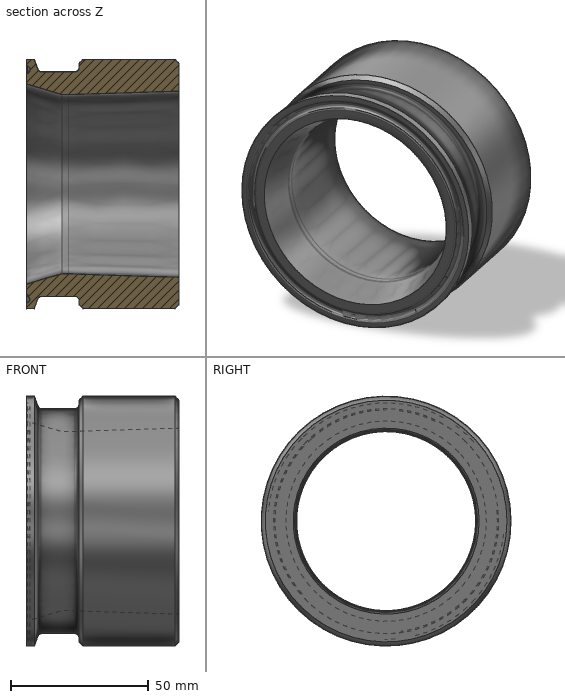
import cadquery as cq
import math

length = 55.55
outer_radius = 90.91 / 2

rim_width = 2.9
flange_back_angle = math.radians(20)
flange_root_fillet = 1.2

neck_radius = 81.89 / 2
body_start = 19.1
body_root_fillet = 1.5
body_chamfer = 1.5

mouth_radius = 72.9 / 2
throat_radius = 65.14 / 2
throat_start = 12.9
throat_end = 15.4
throat_blend_radius = 1.5
pipe_taper = 1 / 16
pipe_mouth_radius = throat_radius + (length - throat_end) * pipe_taper / 2

groove_centre_radius = 41.74
groove_half_width = 1.35
groove_depth = 1.3
groove_edge_fillet = 0.6


def fillet_ring(body, x, radius, fillet_radius):
    """Round the circular edge of the given radius that lies in the plane at x."""
    tolerance = 0.01

    def matches(edge):
        same_plane = abs(edge.Center().x - x) < tolerance
        return same_plane and abs(edge.radius() - radius) < tolerance

    return body.edges("%CIRCLE").filter(matches).fillet(fillet_radius)


def revolve_about_x(profile):
    """Revolve a closed (x, radius) profile a full turn about the X axis."""
    return profile.close().revolve(360, (0, 0, 0), (1, 0, 0))


def turned_blank():
    """Flange, neck and body with the tapered bore, inside corners rounded."""
    flange_root = rim_width + (outer_radius - neck_radius) * math.tan(flange_back_angle)
    profile = (
        cq.Workplane("XY")
        .moveTo(0, mouth_radius)
        .lineTo(0, outer_radius)
        .lineTo(rim_width, outer_radius)
        .lineTo(flange_root, neck_radius)
        .lineTo(body_start, neck_radius)
        .lineTo(body_start, outer_radius - body_chamfer)
        .lineTo(body_start + body_chamfer, outer_radius)
        .lineTo(length - body_chamfer, outer_radius)
        .lineTo(length, outer_radius - body_chamfer)
        .lineTo(length, pipe_mouth_radius)
        .lineTo(throat_end, throat_radius)
        .lineTo(throat_start, throat_radius)
    )
    blank = revolve_about_x(profile)
    blank = fillet_ring(blank, flange_root, neck_radius, flange_root_fillet)
    blank = fillet_ring(blank, body_start, neck_radius, body_root_fillet)
    return fillet_ring(blank, throat_start, throat_radius, throat_blend_radius)


def cut_gasket_groove(body):
    """Cut the round-bottomed gasket groove and round its two rims."""
    inner_radius = groove_centre_radius - groove_half_width
    rim_radius = groove_centre_radius + groove_half_width
    profile = (
        cq.Workplane("XY")
        .moveTo(0, inner_radius)
        .threePointArc((groove_depth, groove_centre_radius), (0, rim_radius))
    )
    body = body.cut(revolve_about_x(profile))
    body = fillet_ring(body, 0, inner_radius, groove_edge_fillet)
    return fillet_ring(body, 0, rim_radius, groove_edge_fillet)


result = cut_gasket_groove(turned_blank())